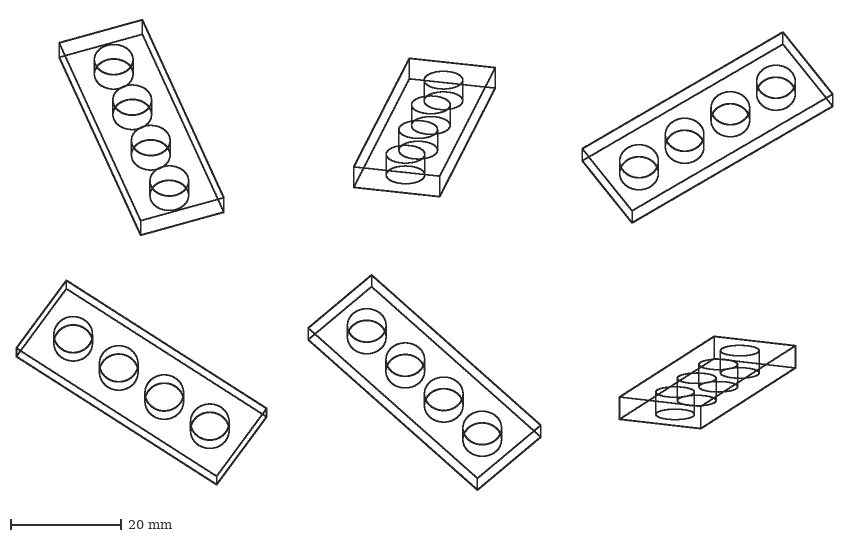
import cadquery as cq

length = 44.0
width = 16.0
thickness = 4.2

hole_count = 4
hole_pitch = 10.0
hole_diameter = 7.0


def make_plate():
    """Rectangular plate centred in X and Y, with its bottom face at Z = 0."""
    return cq.Workplane("XY").box(length, width, thickness, centered=(True, True, False))


def drill_hole_row(plate):
    """Drill the evenly spaced row of through holes along X."""
    return (
        plate.faces(">Z")
        .workplane()
        .rarray(hole_pitch, 1, hole_count, 1)
        .hole(hole_diameter)
    )


result = drill_hole_row(make_plate())